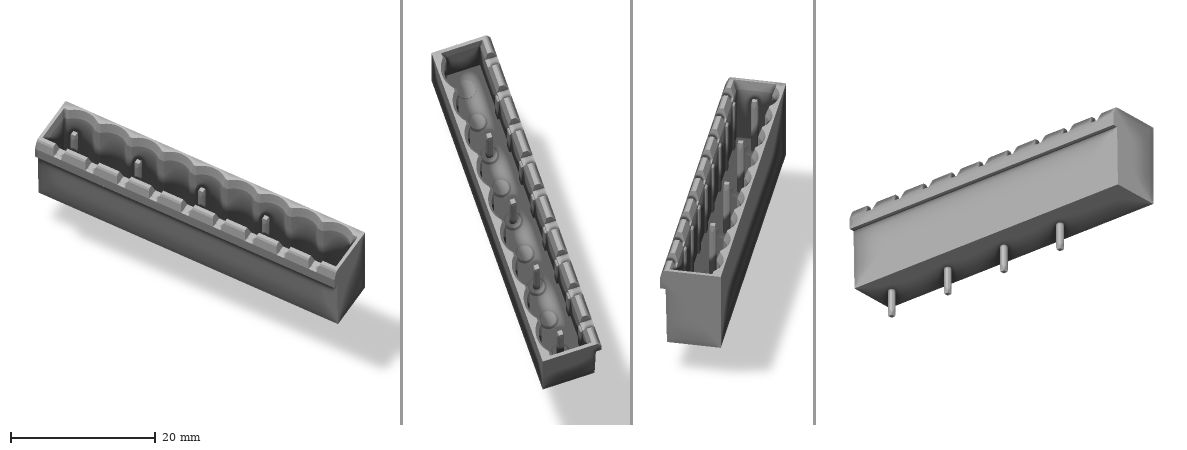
import cadquery as cq
import math


length = 47.7
height = 12.0
back_y = 3.75
total_depth = 8.6
lip_y = back_y - total_depth

top_front_y = -4.1
bevel_y = -4.35
bevel_drop = 0.25
lip_bevel_z = 10.65
lip_bottom_z = 8.9
wall_top_y = -4.0
wall_bottom_y = -3.8

pole_count = 9
pole_span = 40.65
first_pole_x = (length - pole_span) / 2
pitch = pole_span / (pole_count - 1)
poles = [first_pole_x + i * pitch for i in range(pole_count)]
boss_poles = poles[:-1]
blank_pole = poles[-1]
pin_poles = poles[:-1:2]

floor_z = 2.5
end_wall = 0.75
cavity_front_y = -3.05
scallop_radius = 2.95
web_y = 2.05
lead_in = 0.5
end_lead_in = 0.3
lead_in_depth = 1.35

notch_floor_width = 1.15
notch_top_width = 1.85
notch_floor_z = lip_bevel_z

rib_width = 0.95
rib_depth = 0.3
rib_top_z = 10.0
rib_bevel = 0.15

boss_radius = 1.4
boss_top_radius = 1.1
boss_height = 0.25
blank_boss_height = 0.1

pin_sides = 8
pin_width = 1.0
pin_tip_width = 0.65
pin_tip_length = 0.95
pin_top_z = 10.98
pin_bottom_z = -4.0


def make_housing():
    """Solid housing: side profile extruded along X."""
    profile = [
        (back_y, 0),
        (back_y, height),
        (top_front_y, height),
        (bevel_y, height - bevel_drop),
        (lip_y, lip_bevel_z),
        (lip_y, lip_bottom_z),
        (wall_top_y, lip_bottom_z),
        (wall_bottom_y, 0),
    ]
    return cq.Workplane("YZ").polyline(profile).close().extrude(length)


def draw_cavity(plane, widening, end_widening):
    """Cavity outline, moved outward by widening, with one scallop behind each pole."""
    radius = scallop_radius + widening
    flat_y = web_y + widening
    front = cavity_front_y - widening
    left = end_wall - end_widening
    right = length - end_wall + end_widening
    half_chord = math.sqrt(radius**2 - flat_y**2)
    outline = plane.moveTo(right, front).lineTo(left, front).lineTo(left, flat_y)
    for x in poles:
        outline = outline.lineTo(x - half_chord, flat_y)
        outline = outline.threePointArc((x, radius), (x + half_chord, flat_y))
    return outline.lineTo(right, flat_y).close()


def make_cavity():
    """Straight lower cavity with a flared lead-in at the rim."""
    lead_in_z = height - lead_in_depth
    lower = draw_cavity(cq.Workplane().workplane(offset=floor_z), 0, 0).extrude(lead_in_z - floor_z)
    flare = draw_cavity(cq.Workplane().workplane(offset=lead_in_z), 0, 0)
    flare = draw_cavity(flare.workplane(offset=lead_in_depth), lead_in, end_lead_in).loft(ruled=True)
    return lower.union(flare)


def make_notch(x):
    """Notch with sloping sides, open through the front wall."""
    section = [
        (x - notch_floor_width / 2, notch_floor_z),
        (x + notch_floor_width / 2, notch_floor_z),
        (x + notch_top_width / 2, height),
        (x - notch_top_width / 2, height),
    ]
    return cq.Workplane("XZ").polyline(section).close().extrude(-lip_y)


def make_rib(x):
    """Coding rib on the inner front wall, with a bevelled top edge."""
    rib_y = cavity_front_y + rib_depth
    profile = [
        (cavity_front_y, floor_z),
        (rib_y, floor_z),
        (rib_y, rib_top_z - rib_bevel),
        (rib_y - rib_bevel, rib_top_z),
        (cavity_front_y, rib_top_z),
    ]
    plane = cq.Workplane("YZ", origin=(x - rib_width / 2, 0, 0))
    return plane.polyline(profile).close().extrude(rib_width)


def make_boss(x):
    """Truncated cone on the cavity floor."""
    return (
        cq.Workplane(origin=(x, 0, floor_z))
        .circle(boss_radius)
        .workplane(offset=boss_height)
        .circle(boss_top_radius)
        .loft()
    )


def make_blank_boss(x):
    """Low plain disc on the cavity floor."""
    return cq.Workplane(origin=(x, 0, floor_z)).circle(boss_radius).extrude(blank_boss_height)


def make_pin(x):
    """Octagonal pin whose ends are tapered on four sides to a square tip."""
    shank_bottom = pin_bottom_z + pin_tip_length
    shank_top = pin_top_z - pin_tip_length
    envelope = (
        cq.Workplane(origin=(x, 0, shank_bottom))
        .rect(pin_width, pin_width)
        .extrude(shank_top - shank_bottom)
    )
    for base_z, tip_offset in ((shank_bottom, -pin_tip_length), (shank_top, pin_tip_length)):
        taper = (
            cq.Workplane(origin=(x, 0, base_z))
            .rect(pin_width, pin_width)
            .workplane(offset=tip_offset)
            .rect(pin_tip_width, pin_tip_width)
            .loft(ruled=True)
        )
        envelope = envelope.union(taper)
    octagon = (
        cq.Workplane(origin=(x, 0, pin_bottom_z))
        .transformed(rotate=(0, 0, 180 / pin_sides))
        .polygon(pin_sides, pin_width, circumscribed=True)
        .extrude(pin_top_z - pin_bottom_z)
    )
    return envelope.intersect(octagon)


result = make_housing().cut(make_cavity())
for pole_x in poles:
    result = result.cut(make_notch(pole_x))
for pole_x in boss_poles:
    result = result.union(make_rib(pole_x)).union(make_boss(pole_x))
result = result.union(make_blank_boss(blank_pole))
for pole_x in pin_poles:
    result = result.union(make_pin(pole_x))